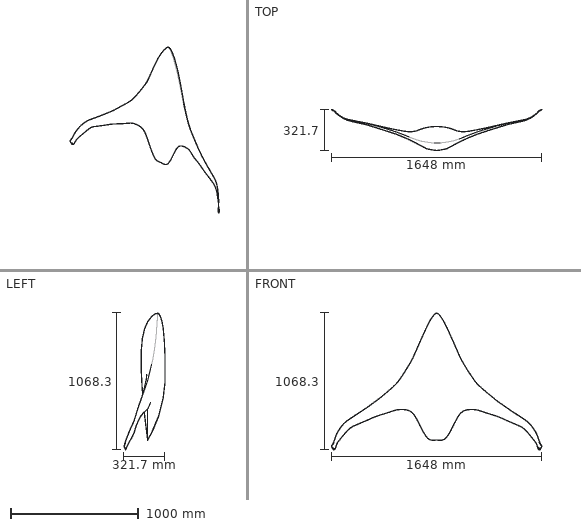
import cadquery as cq
import math

HALF_SPAN = 824.0
TIP_INSET = 15.0
SLANT_START = 660.0
NOSE_Z = 994.0
BODY_TRAIL_Y = 3.0

BACK_SHAPE = [(0.03, 7.7), (0.12, 14.5), (0.3, 16.0), (0.6, 12.0), (0.8, 6.3)]
BELLY_SHAPE = [(0.03, 4.0), (0.12, 8.5), (0.36, 14.2), (0.55, 16.0), (0.81, 11.9), (0.93, 5.5)]

BODY_STATIONS = [
    (0, -77.0, NOSE_Z, BODY_TRAIL_Y, 0, 6.5, 6.1),
    (38.0, -74.0, 960.0, BODY_TRAIL_Y, 0, 6.2, 5.9),
    (75.0, -70.0, 892.0, BODY_TRAIL_Y, 20.0, 5.7, 5.5),
    (117.0, -63.0, 801.0, BODY_TRAIL_Y, 85.0, 4.7, 4.4),
    (157.0, -51.0, 712.0, BODY_TRAIL_Y, 165.0, 3.2, 3.4),
    (196.0, -36.0, 625.0, BODY_TRAIL_Y, 220.0, 2.2, 2.7),
]
WING_STATIONS = [
    (235.0, -20.0, 559.0, 5.0, 235.0, 1.6, 2.1),
    (275.0, -5.0, 496.0, 7.0, 239.0, 1.4, 1.6),
    (315.0, 10.0, 443.0, 12.0, 235.0, 1.1, 1.2),
    (397.0, 36.0, 369.0, 40.0, 210.0, 0.5, 1.2),
    (476.0, 60.0, 305.0, 58.0, 185.0, 0.3, 0.9),
    (555.0, 79.0, 249.0, 75.0, 150.0, 0.2, 0.6),
    (675.0, 104.0, 170.0, 97.0, 95.0, 0.2, 0.3),
    (715.0, 114.0, 140.0, 109.0, 56.0, 0.15, 0.2),
    (755.0, 135.0, 95.0, 130.0, 13.0, 0.12, 0.15),
    (795.0, 165.0, 21.0, 158.0, -38.0, 0.1, 0.12),
    (HALF_SPAN, 186.0, -46.0, 176.0, -74.0, 0.1, 0.1),
]
STATIONS = BODY_STATIONS + WING_STATIONS

SECTIONS_PER_HALF = 26


def section(lead_x, trail_x, lead_y, lead_z, trail_y, trail_z, back_depth, belly_depth):
    """Closed outline of one section, with the given spans at its two edges."""
    lead_point = cq.Vector(lead_x, lead_y, lead_z)
    trail_point = cq.Vector(trail_x, trail_y, trail_z)
    chord = trail_point - lead_point

    def surface(shape, depth):
        return [lead_point + chord * t + cq.Vector(0, depth * f, 0) for t, f in shape]

    back = [lead_point, *surface(BACK_SHAPE, back_depth), trail_point]
    belly = [trail_point, *reversed(surface(BELLY_SHAPE, -belly_depth)), lead_point]
    back_knots = [0, *(math.sqrt(t) for t, _ in BACK_SHAPE), 1]
    belly_knots = [0, *(1 - math.sqrt(t) for t, _ in reversed(BELLY_SHAPE)), 1]
    back_edge = cq.Edge.makeSpline(back, parameters=back_knots)
    belly_edge = cq.Edge.makeSpline(belly, parameters=belly_knots)
    return cq.Wire.assembleEdges([back_edge, belly_edge])


def slope(index, column):
    """Spanwise slope at a station, from its neighbours; level across the plane of symmetry."""
    if index == 0:
        return 0
    before = STATIONS[index - 1]
    after = STATIONS[min(index + 1, len(STATIONS) - 1)]
    return (after[column] - before[column]) / (after[0] - before[0])


def shape_at(x):
    """Section values at a distance x from the centre: cubic blends between stations."""
    index = max(i for i, station in enumerate(STATIONS[:-1]) if station[0] <= x)
    start, end = STATIONS[index], STATIONS[index + 1]
    width = end[0] - start[0]
    u = (x - start[0]) / width
    blend = u * u * (3 - 2 * u)
    return [
        start[c] + (end[c] - start[c]) * blend
        + width * u * (1 - u) * ((1 - u) * slope(index, c) - u * slope(index + 1, c))
        for c in range(1, len(start))
    ]


def section_at(number):
    """Numbered section: 0 at the centre, SECTIONS_PER_HALF at a tip, negative on the -X side."""
    side = -1 if number < 0 else 1
    x = HALF_SPAN * abs(number) / SECTIONS_PER_HALF
    slant = max(0, x - SLANT_START) / (HALF_SPAN - SLANT_START)
    trail_x = x - TIP_INSET * slant**2
    return section(side * x, side * trail_x, *shape_at(x))


skin_sections = [section_at(n) for n in range(-SECTIONS_PER_HALF, SECTIONS_PER_HALF + 1)]
result = cq.Workplane(cq.Solid.makeLoft(skin_sections))